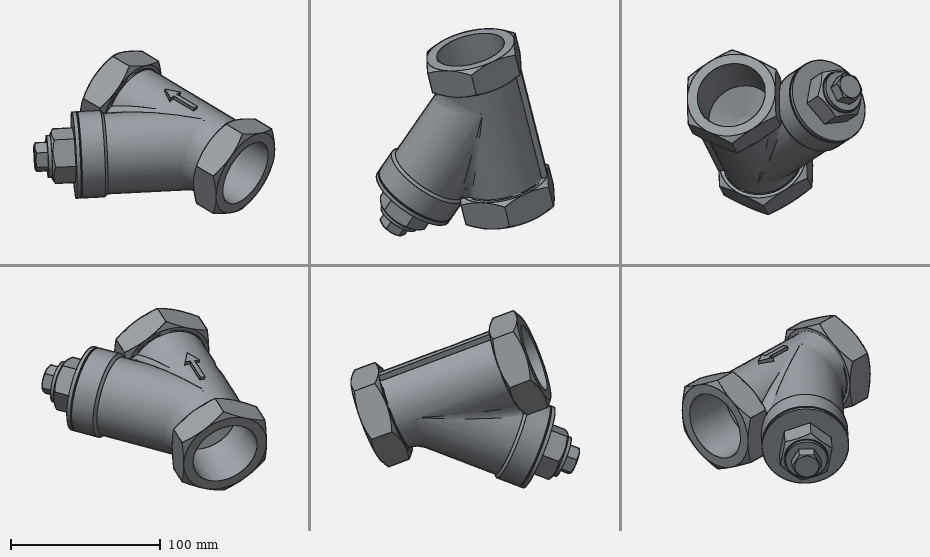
import cadquery as cq
import math

RUN_LENGTH = 120.1
HEX_FLATS = 60.0
HEX_WIDTH = 20.0
HEX_CHAMFER_ANGLE = 30
TUBE_DIAMETER = 54.1
NECK_FILLET = 0.6

MOUTH_DIAMETER = 46.4
BORE_DIAMETER = 45.1
THREAD_DEPTH = 21.3
BORE_DEPTH = 34.5
BORE_CONE_ANGLE = 118

BRANCH_X = 24.0
BRANCH_ANGLE = 225
RING_DIAMETER = 58.0
RING_START = 66.7
RING_END = 84.5
SEAM_CHAMFER = 0.5

ACUTE_CORNER = 45
OBTUSE_CORNER = 180 - ACUTE_CORNER
ACUTE_BLEND_RADIUS = 5.0
OBTUSE_BLEND_RADIUS = 15.0
BLEND_SECTIONS = 7
BLEND_ARC = 88

ARROW_TIP_X = -14.0
ARROW_Y = 3.5
ARROW_HEAD_LENGTH = 9.2
ARROW_HEAD_WIDTH = 10.6
ARROW_LENGTH = 27.1
ARROW_STEM_WIDTH = 3.5
ARROW_TILT = 11
ARROW_TOP = 28.9
ARROW_DEPTH = 3.7

BAR_TOP = -2.5
BAR_HEIGHT = 4.9
NOTCH_LEFT_X = -25.3
NOTCH_TIP_X = -5.7
NOTCH_RIGHT_X = 1.5
NOTCH_TIP_Y = 20.8
NOTCH_TIP_RADIUS = 2.5

FLANGE_END = 87.6
CAP_HEX_FLATS = 32
CAP_HEX_FACE_DIAMETER = 29.5
CAP_HEX_END = 103.1
CAP_HEX_TURN = 20
COLLAR_DIAMETER = 28.0
COLLAR_END = 105.5
DRIVE_FLATS = 17.2
DRIVE_FACE_DIAMETER = 16.2
DRIVE_END = 114.0

TUBE_RADIUS = TUBE_DIAMETER / 2
RING_RADIUS = RING_DIAMETER / 2
RING_CHAMFER = RING_RADIUS - TUBE_RADIUS
BORE_RADIUS = BORE_DIAMETER / 2
HALF_RUN = RUN_LENGTH / 2
HEX_INNER_X = HALF_RUN - HEX_WIDTH


def run_plane(x, side):
    """Plane across the run at x, with its normal along +X or -X."""
    return cq.Plane(origin=(x, 0, 0), xDir=(0, 0, 1), normal=(side, 0, 0))


def branch_plane(station):
    """Plane across the branch, at a distance from the run axis, facing outwards."""
    angle = math.radians(BRANCH_ANGLE)
    along = cq.Vector(math.cos(angle), math.sin(angle), 0)
    across = cq.Vector(-along.y, along.x, 0)
    return cq.Plane(origin=cq.Vector(BRANCH_X, 0, 0) + along * station, xDir=across, normal=along)


def section_plane(plane):
    """Plane through the normal of the given one, for (radius, height) profiles."""
    return cq.Plane(origin=plane.origin, xDir=plane.xDir, normal=-plane.yDir)


def turned(plane, points):
    """Solid of revolution about the plane normal from (radius, height) points."""
    profile = cq.Workplane(section_plane(plane)).polyline(points).close()
    return profile.revolve(360, (0, 0), (0, 1))


def hex_prism(plane, flats, height, turn, face_radius, both_ends=False):
    """Hexagon with conically chamfered corners at its far end, or at both ends."""
    corner = flats / 2 / math.cos(math.radians(30))
    drop = (corner - face_radius) * math.tan(math.radians(HEX_CHAMFER_ANGLE))
    prism = cq.Workplane(plane).transformed(rotate=(0, 0, turn)).polygon(6, 2 * corner).extrude(height)
    near_end = [(0, 0), (face_radius, 0), (corner, drop)] if both_ends else [(0, 0), (corner, 0)]
    far_end = [(corner, height - drop), (face_radius, height), (0, height)]
    return prism.intersect(turned(plane, near_end + far_end))


def make_branch():
    """Round branch with a larger ring at its open end."""
    return turned(branch_plane(0), [
        (0, 0),
        (TUBE_RADIUS, 0),
        (TUBE_RADIUS, RING_START),
        (RING_RADIUS, RING_START + RING_CHAMFER),
        (RING_RADIUS, RING_END - SEAM_CHAMFER),
        (RING_RADIUS - SEAM_CHAMFER, RING_END),
        (0, RING_END),
    ])


def make_blend(corner_angle, radius, bisector):
    """Fill one corner between run and branch, lofted through ellipses fanned about the vertical
    line where the two axes cross, so that the rounding fades out towards top and bottom."""
    half_corner = math.radians(corner_angle / 2)
    centre_reach = (TUBE_RADIUS + radius) / math.sin(half_corner)
    half_fan = half_corner - math.atan2(TUBE_RADIUS, (TUBE_RADIUS + radius) / math.tan(half_corner))
    sections = []
    for i in range(BLEND_SECTIONS):
        offset = half_fan * (2 * i / (BLEND_SECTIONS - 1) - 1)
        reach = centre_reach * math.cos(offset) - math.sqrt(radius**2 - (centre_reach * math.sin(offset))**2)
        heading = math.radians(bisector) + offset
        plane = cq.Plane(
            origin=(BRANCH_X, 0, 0),
            xDir=(math.cos(heading), math.sin(heading), 0),
            normal=(math.sin(heading), -math.cos(heading), 0),
        )
        arc = cq.Workplane(plane).ellipseArc(
            reach, TUBE_RADIUS, -BLEND_ARC, BLEND_ARC, startAtCurrent=False
        )
        sections.append(arc.close().val())
    blend = cq.Workplane(obj=cq.Solid.makeLoft(sections))
    between_hexes = cq.Workplane().box(2 * HEX_INNER_X, RUN_LENGTH, RUN_LENGTH)
    return blend.intersect(between_hexes)


def make_bar():
    """Flat bar between the two hexagons, reaching out to their +Y flats."""
    bar = cq.Workplane().box(2 * HEX_INNER_X, HEX_FLATS / 2, BAR_HEIGHT, centered=(True, False, False))
    return bar.translate((0, 0, BAR_TOP - BAR_HEIGHT))


def make_notch():
    """Cutter for the rounded notch in the tube wall above the bar."""
    outline = cq.Workplane("XY", origin=(0, 0, BAR_TOP)).polyline([
        (NOTCH_LEFT_X, TUBE_RADIUS),
        (NOTCH_TIP_X, NOTCH_TIP_Y),
        (NOTCH_RIGHT_X, TUBE_RADIUS),
    ]).close()
    return outline.extrude(TUBE_RADIUS - BAR_TOP).edges("|Z and <Y").fillet(NOTCH_TIP_RADIUS)


def make_neck(side):
    """Small fillet where the tube meets the inner face of a hexagon."""
    flare_radius = TUBE_RADIUS + NECK_FILLET
    profile = (
        cq.Workplane(section_plane(run_plane(side * HEX_INNER_X, side)))
        .lineTo(flare_radius, 0)
        .radiusArc((TUBE_RADIUS, -NECK_FILLET), -NECK_FILLET)
        .lineTo(0, -NECK_FILLET)
        .close()
    )
    return profile.revolve(360, (0, 0), (0, 1))


def make_end_hex(side):
    """Hexagon at one end of the run, chamfered on both faces."""
    inner_face = run_plane(side * HEX_INNER_X, side)
    return hex_prism(inner_face, HEX_FLATS, HEX_WIDTH, 0, HEX_FLATS / 2, both_ends=True)


def make_bore(side):
    """Cutter for one blind threaded end."""
    cone_depth = BORE_RADIUS / math.tan(math.radians(BORE_CONE_ANGLE / 2))
    return turned(run_plane(side * HALF_RUN, -side), [
        (0, 0),
        (MOUTH_DIAMETER / 2, 0),
        (BORE_RADIUS, THREAD_DEPTH),
        (BORE_RADIUS, BORE_DEPTH),
        (0, BORE_DEPTH + cone_depth),
    ])


def make_arrow():
    """Raised flow arrow pointing to -X, sunk into the tube."""
    tilt = math.radians(ARROW_TILT)
    plane = cq.Plane(
        origin=(0, ARROW_Y, ARROW_TOP), xDir=(1, 0, 0), normal=(0, math.sin(tilt), math.cos(tilt))
    )
    neck_x = ARROW_TIP_X + ARROW_HEAD_LENGTH
    tail_x = ARROW_TIP_X + ARROW_LENGTH
    half_head = ARROW_HEAD_WIDTH / 2
    half_stem = ARROW_STEM_WIDTH / 2
    outline = cq.Workplane(plane).polyline([
        (ARROW_TIP_X, 0),
        (neck_x, half_head),
        (neck_x, half_stem),
        (tail_x, half_stem),
        (tail_x, -half_stem),
        (neck_x, -half_stem),
        (neck_x, -half_head),
    ]).close()
    return outline.extrude(-ARROW_DEPTH)


def make_housing():
    body = cq.Workplane("YZ", origin=(-HALF_RUN, 0, 0)).circle(TUBE_RADIUS).extrude(RUN_LENGTH)
    body = body.union(make_branch())
    acute_bisector = BRANCH_ANGLE - ACUTE_CORNER / 2
    obtuse_bisector = BRANCH_ANGLE + OBTUSE_CORNER / 2
    body = body.union(make_blend(ACUTE_CORNER, ACUTE_BLEND_RADIUS, acute_bisector))
    body = body.union(make_blend(OBTUSE_CORNER, OBTUSE_BLEND_RADIUS, obtuse_bisector))
    body = body.union(make_bar()).cut(make_notch())
    for side in (-1, 1):
        body = body.union(make_end_hex(side))
        body = body.union(make_neck(side))
        body = body.cut(make_bore(side))
    return body.union(make_arrow())


def make_cap():
    """Flange, hexagon, collar and small drive hexagon, seated on the end of the branch ring."""
    flange_width = FLANGE_END - RING_END
    flange = turned(branch_plane(RING_END), [
        (0, 0),
        (RING_RADIUS - SEAM_CHAMFER, 0),
        (RING_RADIUS, SEAM_CHAMFER),
        (RING_RADIUS, flange_width),
        (0, flange_width),
    ])
    cap_hex = hex_prism(
        branch_plane(FLANGE_END), CAP_HEX_FLATS, CAP_HEX_END - FLANGE_END,
        CAP_HEX_TURN, CAP_HEX_FACE_DIAMETER / 2,
    )
    collar = (
        cq.Workplane(branch_plane(CAP_HEX_END))
        .circle(COLLAR_DIAMETER / 2)
        .extrude(COLLAR_END - CAP_HEX_END)
    )
    drive = hex_prism(
        branch_plane(COLLAR_END), DRIVE_FLATS, DRIVE_END - COLLAR_END, 0, DRIVE_FACE_DIAMETER / 2
    )
    return flange.union(cap_hex).union(collar).union(drive)


housing = make_housing()
cap = make_cap()
result = cq.Compound.makeCompound([housing.val(), cap.val()])